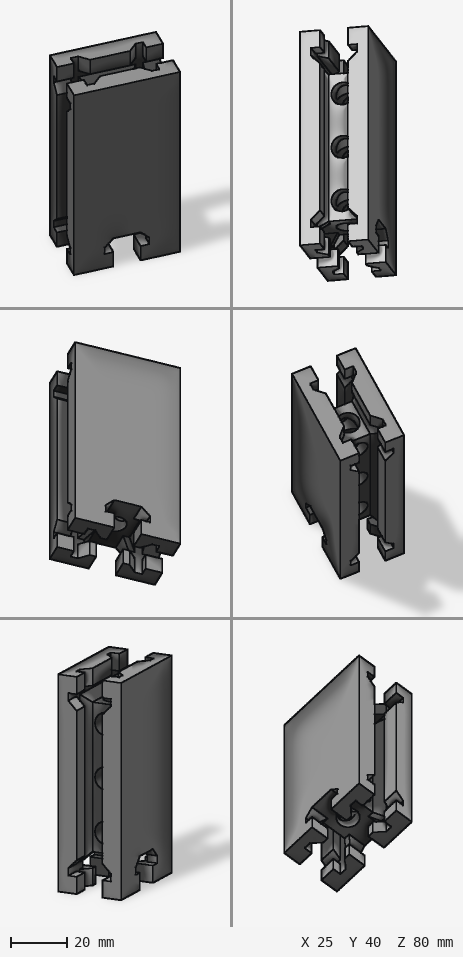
import cadquery as cq

width = 25.0
depth = 40.0
height = 80.0

slot_depth = 12.5
mouth_width = 10.2
undercut_width = 16.9
lip_thickness = 6.4
shoulder_run = (undercut_width - mouth_width) / 2

hole_diameter = 8.3
hole_pitch = depth / 2
cross_hole_count = 3

overcut = 0.8


def t_slot(face_center, across, along, length):
    """Cutter for a T-slot opening on the face at face_center.

    across is the direction of the slot's width, along the direction it runs in.
    The slot is centered on face_center and deepens towards the block's center.
    """
    plane = cq.Plane(origin=face_center, xDir=across, normal=along)
    half_mouth = mouth_width / 2
    half_undercut = undercut_width / 2
    shoulder_depth = slot_depth - shoulder_run
    right_side = [
        (half_mouth, overcut),
        (half_mouth, -lip_thickness),
        (half_undercut, -lip_thickness),
        (half_undercut, -shoulder_depth),
        (half_mouth, -slot_depth),
    ]
    left_side = [(-x, y) for x, y in reversed(right_side)]
    return cq.Workplane(plane).polyline(right_side + left_side).close().extrude(length / 2, both=True)


body = cq.Workplane("XY").box(width, depth, height)

body = body.cut(t_slot((0, 0, height / 2), (1, 0, 0), (0, -1, 0), depth))
body = body.cut(t_slot((0, 0, -height / 2), (-1, 0, 0), (0, -1, 0), depth))

body = body.cut(t_slot((0, depth / 2, 0), (1, 0, 0), (0, 0, 1), height))
body = body.cut(t_slot((0, -depth / 2, 0), (-1, 0, 0), (0, 0, 1), height))

body = body.cut(t_slot((0, 0, -height / 2), (0, 1, 0), (-1, 0, 0), width))

cross_holes = (
    cq.Workplane("XZ")
    .rarray(0.8, hole_pitch, 1, cross_hole_count)
    .circle(hole_diameter / 2)
    .extrude(depth / 2, both=True)
)
body = body.cut(cross_holes)

long_hole = cq.Workplane("XY").circle(hole_diameter / 2).extrude(height / 2, both=True)
result = body.cut(long_hole)